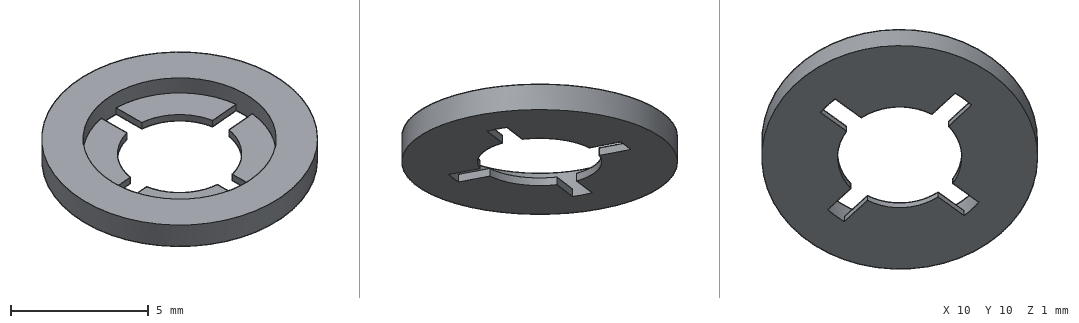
import cadquery as cq

outer_diameter = 10.0
bore_diameter = 7.0
ring_height = 1.0

tab_inner_diameter = 4.5
tab_thickness = 0.3
slot_width = 0.8


def make_ring():
    """Plain flat ring, standing on Z = 0."""
    return (
        cq.Workplane("XY")
        .circle(outer_diameter / 2)
        .circle(bore_diameter / 2)
        .extrude(ring_height)
    )


def make_tabs():
    """Thin annulus that reaches into the ring wall, cut into four tabs by two crossed slots."""
    reach_diameter = (outer_diameter + bore_diameter) / 2
    tabs = (
        cq.Workplane("XY")
        .circle(reach_diameter / 2)
        .circle(tab_inner_diameter / 2)
        .extrude(tab_thickness)
    )
    for angle in (0, 90):
        slot = (
            cq.Workplane("XY")
            .rect(outer_diameter, slot_width)
            .extrude(tab_thickness)
            .rotate((0, 0, 0), (0, 0, 1), angle)
        )
        tabs = tabs.cut(slot)
    return tabs


result = make_ring().union(make_tabs())